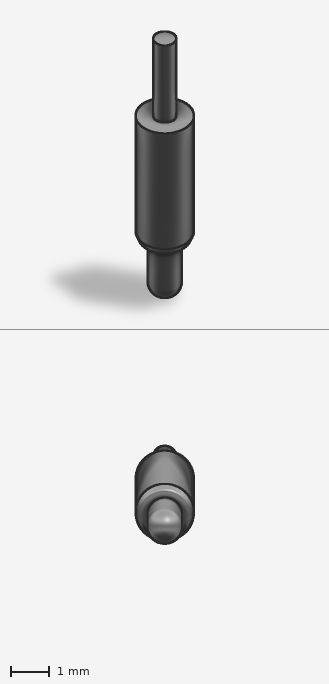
import cadquery as cq

total_length = 8.3

tail_diameter = 0.6
tail_length = 2.5

barrel_diameter = 1.5
barrel_length = 4.0
taper_height = 0.25
taper_inset = 0.1
taper_edge_radius = 0.12

plunger_diameter = 0.9

tail_radius = tail_diameter / 2
barrel_radius = barrel_diameter / 2
plunger_radius = plunger_diameter / 2
barrel_top = total_length - tail_length
barrel_bottom = barrel_top - barrel_length


def make_barrel():
    """Cylinder with a tapered, rounded lower end."""
    barrel = (
        cq.Workplane("XZ")
        .moveTo(0, barrel_bottom)
        .lineTo(barrel_radius - taper_inset, barrel_bottom)
        .lineTo(barrel_radius, barrel_bottom + taper_height)
        .lineTo(barrel_radius, barrel_top)
        .lineTo(0, barrel_top)
        .close()
        .revolve(360, (0, 0, 0), (0, 1, 0))
    )
    return barrel.faces("<Z").edges().fillet(taper_edge_radius)


def make_plunger():
    """Rod with a hemispherical tip, reaching up to the barrel."""
    return (
        cq.Workplane("XZ")
        .moveTo(0, 0)
        .radiusArc((plunger_radius, plunger_radius), -plunger_radius)
        .lineTo(plunger_radius, barrel_bottom)
        .lineTo(0, barrel_bottom)
        .close()
        .revolve(360, (0, 0, 0), (0, 1, 0))
    )


def make_tail():
    """Solder tail standing on top of the barrel."""
    return (
        cq.Workplane("XY")
        .workplane(offset=barrel_top)
        .circle(tail_radius)
        .extrude(tail_length)
    )


result = make_barrel().union(make_plunger()).union(make_tail())